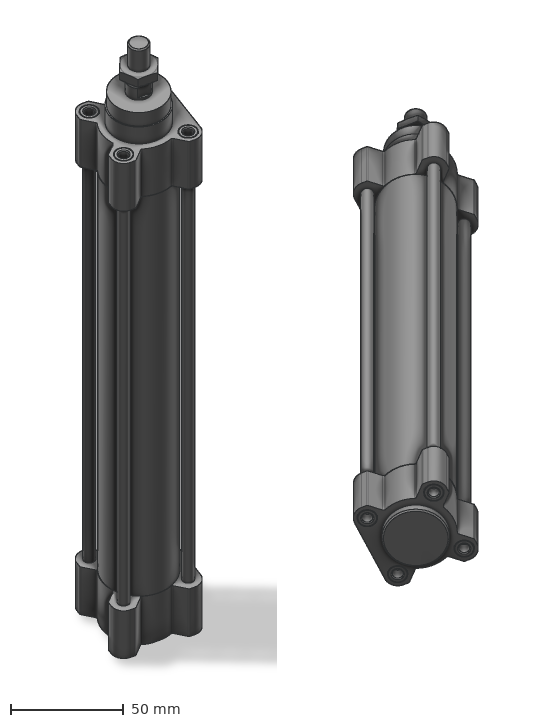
import cadquery as cq
import math

TOTAL_HEIGHT = 345.0
END_COLLAR_HEIGHT = 4.0
CAP_HEIGHT = 28.3
FRONT_CAP_TOP = 298.0
COLLAR_STEP_Z = 308.2
COLLAR_TOP = 316.0
REAR_CAP_TOP = END_COLLAR_HEIGHT + CAP_HEIGHT
FRONT_CAP_BOTTOM = FRONT_CAP_TOP - CAP_HEIGHT

CAP_WIDTH = 45.0
CAP_CORE_DIAMETER = 37.0
CORNER_RADIUS = 6.2
LOBE_WIDTH = 12.8
LOBE_SHOULDER_RADIUS = 1.0
LOBE_ROOT_RADIUS = 1.0
HALF_CAP = CAP_WIDTH / 2

COLLAR_DIAMETER = 30.0
COLLAR_TIP_DIAMETER = 28.5
END_COLLAR_CHAMFER = 0.7
TUBE_DIAMETER = 36.5

TIE_ROD_DIAMETER = 6.0
TIE_ROD_OFFSET = HALF_CAP - CORNER_RADIUS
RECESS_DIAMETER = 9.0
RECESS_DEPTH = 1.0
NUT_BODY_DIAMETER = 8.5
NUT_BODY_CHAMFER = 0.17
SOCKET_DIAMETER = 5.0
SOCKET_MOUTH_DIAMETER = TIE_ROD_DIAMETER
SOCKET_DEPTH = 7.0
SOCKET_TIP_ANGLE = 118.0

ROD_DIAMETER = 12.0
ROD_FLATS_WIDTH = 10.0
FLATS_BOTTOM = 317.5
THREAD_DIAMETER = 10.0
NECK_DIAMETER = 8.5
NECK_HEIGHT = 0.7
SHOULDER_TOP = 324.0
SHOULDER_CHAMFER = (ROD_DIAMETER - THREAD_DIAMETER) / 2
THREAD_CHAMFER = (THREAD_DIAMETER - NECK_DIAMETER) / 2
THREAD_BOTTOM = SHOULDER_TOP + NECK_HEIGHT

LOCK_NUT_FLATS = 17.0
LOCK_NUT_BOTTOM = 326.8
LOCK_NUT_HEIGHT = 5.2
LOCK_NUT_CHAMFER_ANGLE = 15.0
LOCK_NUT_CORNERS = LOCK_NUT_FLATS / math.cos(math.radians(30))


def disc(diameter, bottom, top):
    """Cylinder on the Z axis between two heights."""
    return cq.Workplane("XY").workplane(offset=bottom).circle(diameter / 2).extrude(top - bottom)


def turned(profile):
    """Solid of revolution about Z from (radius, height) points."""
    return cq.Workplane("XZ").polyline(profile).close().revolve(360, (0, 0, 0), (0, 1, 0))


def tie_rod_places():
    return [(x, y) for x in (-TIE_ROD_OFFSET, TIE_ROD_OFFSET) for y in (-TIE_ROD_OFFSET, TIE_ROD_OFFSET)]


def distance_from_axis(edge):
    center = edge.Center()
    return math.hypot(center.x, center.y)


def round_uprights(body, nearest, farthest, radius):
    """Fillet the vertical edges whose distance from the Z axis lies between two limits."""
    edges = body.edges("|Z").filter(lambda edge: nearest < distance_from_axis(edge) < farthest)
    return edges.fillet(radius)


def end_cap(bottom):
    """Square cut back to the round core between diagonal lobes, with its +Y side left full."""
    base = cq.Workplane("XY").workplane(offset=bottom)
    keep = disc(CAP_CORE_DIAMETER, bottom, bottom + CAP_HEIGHT)
    for angle in (45, 135):
        band = base.transformed(rotate=(0, 0, angle)).rect(2 * CAP_WIDTH, LOBE_WIDTH).extrude(CAP_HEIGHT)
        keep = keep.union(band)
    back_outline = [(0, 0), (HALF_CAP, HALF_CAP), (-HALF_CAP, HALF_CAP)]
    keep = keep.union(base.polyline(back_outline).close().extrude(CAP_HEIGHT))
    cap = base.rect(CAP_WIDTH, CAP_WIDTH).extrude(CAP_HEIGHT).intersect(keep)

    root_limit = CAP_CORE_DIAMETER / 2 + LOBE_ROOT_RADIUS
    corner_limit = HALF_CAP * math.sqrt(2) - LOBE_SHOULDER_RADIUS
    cap = round_uprights(cap, root_limit, corner_limit, LOBE_SHOULDER_RADIUS)
    cap = round_uprights(cap, corner_limit, CAP_WIDTH, CORNER_RADIUS)
    return round_uprights(cap, 0, root_limit, LOBE_ROOT_RADIUS)


def nut_recess():
    """Ring-shaped gap and threaded socket of one tie rod nut, cut down from z = 0."""
    gap = disc(RECESS_DIAMETER, -RECESS_DEPTH, 0)
    nut_body = disc(NUT_BODY_DIAMETER, -RECESS_DEPTH, 0).faces(">Z").chamfer(NUT_BODY_CHAMFER)
    radius = SOCKET_DIAMETER / 2
    mouth_radius = SOCKET_MOUTH_DIAMETER / 2
    tip_depth = radius / math.tan(math.radians(SOCKET_TIP_ANGLE / 2))
    socket = turned([
        (0, 0),
        (mouth_radius, 0),
        (radius, radius - mouth_radius),
        (radius, -SOCKET_DEPTH),
        (0, -SOCKET_DEPTH - tip_depth),
    ])
    return gap.cut(nut_body).union(socket)


def make_housing():
    """Tube, two caps, collars and tie rods, bored for the piston rod."""
    body = disc(TUBE_DIAMETER, REAR_CAP_TOP, FRONT_CAP_BOTTOM)
    body = body.union(end_cap(END_COLLAR_HEIGHT)).union(end_cap(FRONT_CAP_BOTTOM))

    end_collar = disc(COLLAR_DIAMETER, 0, END_COLLAR_HEIGHT).faces("<Z").chamfer(END_COLLAR_CHAMFER)
    body = body.union(end_collar)
    body = body.union(disc(COLLAR_DIAMETER, FRONT_CAP_TOP, COLLAR_STEP_Z))
    body = body.union(disc(COLLAR_TIP_DIAMETER, COLLAR_STEP_Z, COLLAR_TOP))

    front_recess = nut_recess().translate((0, 0, FRONT_CAP_TOP))
    rear_recess = nut_recess().mirror("XY").translate((0, 0, END_COLLAR_HEIGHT))
    tie_rod = disc(TIE_ROD_DIAMETER, REAR_CAP_TOP, FRONT_CAP_BOTTOM)
    for x, y in tie_rod_places():
        body = body.union(tie_rod.translate((x, y, 0)))
        body = body.cut(front_recess.translate((x, y, 0)))
        body = body.cut(rear_recess.translate((x, y, 0)))

    return body.cut(disc(ROD_DIAMETER, FRONT_CAP_BOTTOM, COLLAR_TOP))


def make_piston_rod():
    """Rod with wrench flats, a necked shoulder and a chamfered thread end."""
    rod_radius = ROD_DIAMETER / 2
    thread_radius = THREAD_DIAMETER / 2
    neck_radius = NECK_DIAMETER / 2
    rod = turned([
        (0, FRONT_CAP_BOTTOM),
        (rod_radius, FRONT_CAP_BOTTOM),
        (rod_radius, SHOULDER_TOP - SHOULDER_CHAMFER),
        (thread_radius, SHOULDER_TOP),
        (neck_radius, SHOULDER_TOP),
        (neck_radius, THREAD_BOTTOM),
        (thread_radius, THREAD_BOTTOM + THREAD_CHAMFER),
        (thread_radius, TOTAL_HEIGHT - THREAD_CHAMFER),
        (neck_radius, TOTAL_HEIGHT),
        (0, TOTAL_HEIGHT),
    ])
    flats_height = SHOULDER_TOP - FLATS_BOTTOM
    flats_center = FLATS_BOTTOM + flats_height / 2
    for side in (-1, 1):
        cutter = cq.Workplane("XY").box(ROD_DIAMETER, 2 * ROD_DIAMETER, flats_height)
        offset = side * (ROD_FLATS_WIDTH + ROD_DIAMETER) / 2
        rod = rod.cut(cutter.translate((offset, 0, flats_center)))
    return rod


def make_lock_nut():
    """Hexagonal nut with shallow conical chamfers, bored to fit the thread."""
    hexagon = (
        cq.Workplane("XY")
        .workplane(offset=LOCK_NUT_BOTTOM)
        .transformed(rotate=(0, 0, 90))
        .polygon(6, LOCK_NUT_CORNERS)
        .extrude(LOCK_NUT_HEIGHT)
    )
    top = LOCK_NUT_BOTTOM + LOCK_NUT_HEIGHT
    face_radius = LOCK_NUT_FLATS / 2
    corner_radius = LOCK_NUT_CORNERS / 2
    drop = (corner_radius - face_radius) * math.tan(math.radians(LOCK_NUT_CHAMFER_ANGLE))
    envelope = turned([
        (0, LOCK_NUT_BOTTOM),
        (face_radius, LOCK_NUT_BOTTOM),
        (corner_radius, LOCK_NUT_BOTTOM + drop),
        (corner_radius, top - drop),
        (face_radius, top),
        (0, top),
    ])
    bore = disc(THREAD_DIAMETER, LOCK_NUT_BOTTOM, top)
    return hexagon.intersect(envelope).cut(bore)


housing = make_housing()
piston_rod = make_piston_rod()
lock_nut = make_lock_nut()

result = cq.Compound.makeCompound([housing.val(), piston_rod.val(), lock_nut.val()])